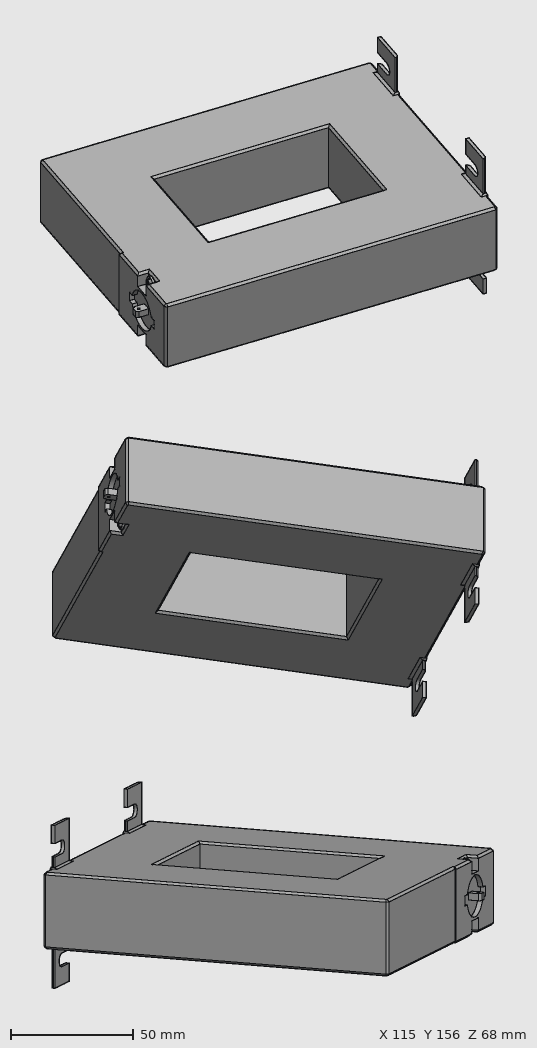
import cadquery as cq

LENGTH = 156.0
WIDTH = 115.0
HEIGHT = 68.0

CASE_HEIGHT = 32.0
EDGE_CHAMFER = 1.0
BLADE_REACH = 3.5
STEP_DEPTH = 0.6
STEP_X = 15.6
WINDOW_WIDTH = 49.6
WINDOW_LENGTH = 79.9

TAB_WIDTH = 15.9
TAB_THICKNESS = 1.5
TAB_SPACING = 79.5
TAB_CENTER_X = -0.8
TAB_EMBED = 6.2
SLOT_WIDTH = 5.6
SLOT_DEPTH = 10.9
SLOT_Z = 23.5
PAD_HEIGHT = 0.5
PAD_SIDE_FLARE = 1.1
PAD_FRONT_FLARE = 1.4

TERMINAL_X = 36.3
NOTCH_WIDTH = 7.3
NOTCH_HEIGHT = 6.2
NOTCH_DEPTH = 4.8
SCREW_DIAMETER = 5.3
SCREW_LENGTH = 2.2
SCREW_CHAMFER = 1.1
SCREW_DROP = 3.1
CROSS_WIDTH = 0.5
CROSS_DEPTH = 1.0
DIAL_DIAMETER = 17.5
DIAL_DEPTH = 2.2
EAR_SPAN = 22.2
EAR_HEIGHT = 4.2
BLADE_WIDTH = 3.9
BLADE_THICKNESS = 3.0
BLADE_CHAMFER_LENGTH = 1.1
BLADE_CHAMFER_WIDTH = 0.8
BLADE_HOLE_DIAMETER = 1.1
BLADE_HOLE_OFFSET = 1.4

SIDE_X = WIDTH / 2
REAR_Y = LENGTH / 2
TERMINAL_Y = -REAR_Y + BLADE_REACH
FRONT_Y = TERMINAL_Y + STEP_DEPTH
TOP_Z = CASE_HEIGHT / 2
WINDOW_Y = (REAR_Y + FRONT_Y) / 2
NOTCH_BACK_Y = TERMINAL_Y + NOTCH_DEPTH
DIAL_FLOOR_Y = TERMINAL_Y + DIAL_DEPTH


def span_box(x_center, width, y_range, z_range):
    """Box centred on x_center, spanning the given Y and Z ranges."""
    y_low, y_high = y_range
    z_low, z_high = z_range
    return (
        cq.Workplane("XY")
        .box(width, y_high - y_low, z_high - z_low, centered=(True, False, False))
        .translate((x_center, y_low, z_low))
    )


def mirror_z(shape):
    return shape.mirror("XY")


def make_case():
    """Framed casing with chamfered outer, window and notch edges."""
    outline = [
        (-SIDE_X, REAR_Y),
        (-SIDE_X, FRONT_Y),
        (STEP_X, FRONT_Y),
        (STEP_X, TERMINAL_Y),
        (SIDE_X, TERMINAL_Y),
        (SIDE_X, REAR_Y),
    ]
    case = cq.Workplane("XY").polyline(outline).close().extrude(CASE_HEIGHT).translate((0, 0, -TOP_Z))
    for x, y in [(-SIDE_X, REAR_Y), (-SIDE_X, FRONT_Y), (SIDE_X, TERMINAL_Y), (SIDE_X, REAR_Y)]:
        corner = cq.selectors.NearestToPointSelector((x, y, 0))
        case = case.edges(corner).chamfer(EDGE_CHAMFER)
    window = (
        cq.Workplane("XY")
        .rect(WINDOW_WIDTH, WINDOW_LENGTH)
        .extrude(CASE_HEIGHT)
        .translate((0, WINDOW_Y, -TOP_Z))
    )
    notch = span_box(
        TERMINAL_X, NOTCH_WIDTH, (TERMINAL_Y, NOTCH_BACK_Y), (TOP_Z - NOTCH_HEIGHT, TOP_Z)
    )
    case = case.cut(window).cut(notch).cut(mirror_z(notch))
    return case.faces("<Z or >Z").edges().chamfer(EDGE_CHAMFER)


def make_tab(x):
    """Upper slotted tab, open toward -X, with a sloped collar at its root."""
    tab_top = HEIGHT / 2
    tab_root_z = TOP_Z - TAB_EMBED
    tab = span_box(x, TAB_WIDTH, (REAR_Y - TAB_THICKNESS, REAR_Y), (tab_root_z, tab_top))
    open_side_x = x - TAB_WIDTH / 2
    slot = (
        cq.Workplane("XZ", origin=(open_side_x, REAR_Y, SLOT_Z))
        .slot2D(2 * SLOT_DEPTH, SLOT_WIDTH)
        .extrude(TAB_THICKNESS)
    )
    pad_base_width = TAB_WIDTH + 2 * PAD_SIDE_FLARE
    pad_base_depth = TAB_THICKNESS + PAD_FRONT_FLARE
    pad_bottom = TOP_Z - EDGE_CHAMFER
    pad_root = span_box(x, pad_base_width, (REAR_Y - pad_base_depth, REAR_Y), (pad_bottom, TOP_Z))
    pad_slope = (
        cq.Workplane("XY", origin=(x, REAR_Y - pad_base_depth / 2, TOP_Z))
        .rect(pad_base_width, pad_base_depth)
        .workplane(offset=PAD_HEIGHT)
        .center(0, PAD_FRONT_FLARE / 2)
        .rect(TAB_WIDTH, TAB_THICKNESS)
        .loft()
    )
    tab = tab.cut(slot)
    for corner in [(x + TAB_WIDTH / 2, REAR_Y, SLOT_Z), (open_side_x, REAR_Y, TOP_Z)]:
        tab = tab.edges("|Z").edges(cq.selectors.NearestToPointSelector(corner)).chamfer(EDGE_CHAMFER)
    return tab.union(pad_root).union(pad_slope)


def make_tab_pair(x):
    """Upper tab and its half-turn copy below, whose slot opens toward +X."""
    upper = make_tab(x)
    lower = upper.rotate((x, 0, 0), (x, 1, 0), 180)
    return upper.union(lower)


def make_screw():
    """Cross-recessed screw head on the back wall of the upper notch."""
    head_y = NOTCH_BACK_Y - SCREW_LENGTH
    screw_z = TOP_Z - SCREW_DROP
    head = (
        cq.Workplane("XZ", origin=(TERMINAL_X, NOTCH_BACK_Y, screw_z))
        .circle(SCREW_DIAMETER / 2)
        .extrude(SCREW_LENGTH)
        .faces("<Y")
        .chamfer(SCREW_CHAMFER)
    )
    cross_floor = cq.Workplane("XZ", origin=(TERMINAL_X, head_y + CROSS_DEPTH, screw_z))
    level_bar = cross_floor.rect(SCREW_DIAMETER, CROSS_WIDTH).extrude(CROSS_DEPTH)
    upright_bar = cross_floor.rect(CROSS_WIDTH, SCREW_DIAMETER).extrude(CROSS_DEPTH)
    return head.cut(level_bar).cut(upright_bar)


def make_dial_recess():
    """Round recess with two side ears in the terminal face."""
    plane = cq.Workplane("XZ", origin=(TERMINAL_X, DIAL_FLOOR_Y, 0))
    disc = plane.circle(DIAL_DIAMETER / 2).extrude(DIAL_DEPTH)
    ears = plane.rect(EAR_SPAN, EAR_HEIGHT).extrude(DIAL_DEPTH)
    return disc.union(ears)


def make_blade():
    """Short blade on the dial floor, with bevelled tip corners, cross-drilled along Z."""
    half_width = BLADE_WIDTH / 2
    tip_half_width = half_width - BLADE_CHAMFER_WIDTH
    shoulder_y = -REAR_Y + BLADE_CHAMFER_LENGTH
    outline = [
        (TERMINAL_X - half_width, DIAL_FLOOR_Y),
        (TERMINAL_X - half_width, shoulder_y),
        (TERMINAL_X - tip_half_width, -REAR_Y),
        (TERMINAL_X + tip_half_width, -REAR_Y),
        (TERMINAL_X + half_width, shoulder_y),
        (TERMINAL_X + half_width, DIAL_FLOOR_Y),
    ]
    blade = cq.Workplane("XY").polyline(outline).close().extrude(BLADE_THICKNESS / 2, both=True)
    hole = (
        cq.Workplane("XY", origin=(TERMINAL_X, TERMINAL_Y - BLADE_HOLE_OFFSET, 0))
        .circle(BLADE_HOLE_DIAMETER / 2)
        .extrude(BLADE_THICKNESS / 2, both=True)
    )
    return blade.cut(hole)


result = make_case().cut(make_dial_recess()).union(make_blade())
screw = make_screw()
result = result.union(screw).union(mirror_z(screw))
for side in (-1, 1):
    result = result.union(make_tab_pair(TAB_CENTER_X + side * TAB_SPACING / 2))